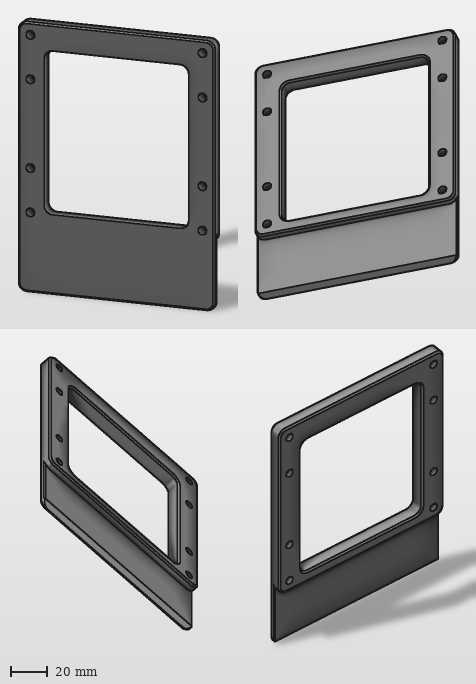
import cadquery as cq

FRAME_SIDE = 114.3
FRAME_THICKNESS = 8.0
CORNER_RADIUS = 5.0
EDGE_CHAMFER = 1.0

TOTAL_HEIGHT = 152.1
PLATE_THICKNESS = 3.8
PLATE_SIDE_CHAMFER = 0.7
PLATE_BOTTOM_BEVEL = PLATE_THICKNESS - EDGE_CHAMFER

WINDOW_WIDTH = 84.0
WINDOW_TOP = 42.2
WINDOW_BOTTOM = -50.0
WINDOW_CORNER_RADIUS = 5.0

HOLE_DIAMETER = 4.75
HOLE_COLUMNS = (-50.0, 50.0)
HOLE_ROWS = (-50.0, -25.0, 25.0, 50.0)

FRAME_TOP = FRAME_SIDE / 2
FRAME_BOTTOM = -FRAME_SIDE / 2
PLATE_BOTTOM = FRAME_TOP - TOTAL_HEIGHT


def rounded_block(width, bottom, top, depth, radius):
    """Block from the front face back to the given depth, with its four corners rounded."""
    block = cq.Workplane("XY").box(width, depth, top - bottom)
    block = block.edges("|Y").fillet(radius)
    return block.translate((0, depth / 2, (top + bottom) / 2))


def make_window():
    """Opening with rounded corners through the frame and plate."""
    return rounded_block(WINDOW_WIDTH, WINDOW_BOTTOM, WINDOW_TOP, FRAME_THICKNESS, WINDOW_CORNER_RADIUS)


def make_frame():
    """Square slab of full thickness with its window, chamfered around both at its rear face."""
    frame = rounded_block(FRAME_SIDE, FRAME_BOTTOM, FRAME_TOP, FRAME_THICKNESS, CORNER_RADIUS)
    frame = frame.cut(make_window())
    return frame.faces(">Y").chamfer(EDGE_CHAMFER)


def make_plate():
    """Thin plate of full height with chamfered rear side edges and a bevelled rear bottom edge."""
    plate = cq.Workplane("XY").box(FRAME_SIDE, PLATE_THICKNESS, TOTAL_HEIGHT)
    plate = plate.translate((0, PLATE_THICKNESS / 2, (FRAME_TOP + PLATE_BOTTOM) / 2))
    plate = plate.faces(">Y").edges("|Z").chamfer(PLATE_SIDE_CHAMFER)
    plate = plate.faces(">Y").edges("<Z").chamfer(PLATE_BOTTOM_BEVEL)
    outline = rounded_block(FRAME_SIDE, PLATE_BOTTOM, FRAME_TOP, PLATE_THICKNESS, CORNER_RADIUS)
    return plate.intersect(outline)


def make_front_trim():
    """Full-depth outline with a chamfered front rim, used to trim the body."""
    trim = rounded_block(FRAME_SIDE, PLATE_BOTTOM, FRAME_TOP, FRAME_THICKNESS, CORNER_RADIUS)
    return trim.faces("<Y").chamfer(EDGE_CHAMFER)


def make_holes():
    """Two columns of screw holes through the frame and plate."""
    centres = [(x, z) for x in HOLE_COLUMNS for z in HOLE_ROWS]
    return (
        cq.Workplane("XZ")
        .pushPoints(centres)
        .circle(HOLE_DIAMETER / 2)
        .extrude(-FRAME_THICKNESS)
    )


body = make_frame().union(make_plate()).intersect(make_front_trim())
result = body.cut(make_window()).cut(make_holes())